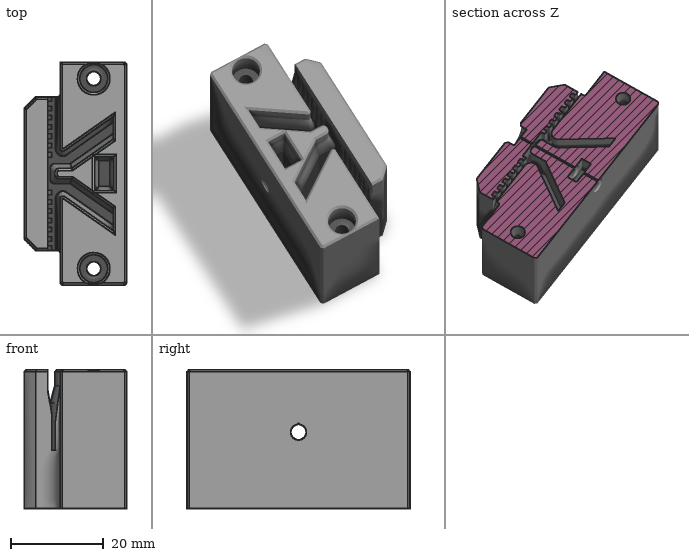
import math

import cadquery as cq

LENGTH_X = 22.15
LENGTH_Y = 48.15
HEIGHT = 30.0
EDGE_CHAMFER = 0.5
BODY_FACE_X = 7.75

JAW_LENGTH = 33.15
JAW_CORNER_CHAMFER = 2.5
JAW_THICKNESS = 5.1
JAW_ROOT_FILLET = 0.5

SLOT_FLOOR_Z = 12.6
WALL_STEP = 1.0
CHANNEL_WIDTH = 4.0
CHANNEL_ANGLE = 35.0
CHANNEL_END_X = 19.2

TAPER_TOP_Z = 26.5
SLOT_TAPER_BOTTOM_Z = 18.9
NOSE_TAPER_BOTTOM_Z = 22.8
WING_TAPER_BOTTOM_Z = 23.5

WING_APEX_RADIUS = 0.6

NOSE_TIP_X = 6.6
NOSE_HALF_WIDTH = 1.15
NOSE_RADIUS = 1.0
NOSE_KINK_X = 10.25

RIB_WIDTH = 1.0
RIB_PITCH = 2.0
RIBS_PER_SIDE = 7
RIB_HEIGHT = 0.87
RIB_TAPER_BOTTOM_Z = 20.3
RIB_TAPER_TOP_Z = 25.7

MOUNT_DIAMETER = 3.0
HEAD_DIAMETER = 6.0
MOUNT_X = 15.0
MOUNT_SPACING = 41.0
MOUNT_HEAD_DEPTH = 6.0
CLAMP_SCREW_Z = 16.5
CLAMP_DIAMETER = 3.3
CLAMP_ROOF_HEIGHT = 1.9
CLAMP_HEAD_DEPTH = 2.0
NUT_THICKNESS = 2.3
NUT_WIDTH = 5.5
NUT_CENTER_X = 17.28
NUT_FUNNEL = 0.9

BEYOND = 30.0

SIN_ANGLE = math.sin(math.radians(CHANNEL_ANGLE))
COS_ANGLE = math.cos(math.radians(CHANNEL_ANGLE))
TAN_ANGLE = SIN_ANGLE / COS_ANGLE


def taper_growth(z, taper_bottom):
    """How far a wall at height z stands out from its upper part, negative in the top chamfer."""
    chamfer_z = HEIGHT - EDGE_CHAMFER
    if z > chamfer_z:
        return chamfer_z - z
    taper_share = (TAPER_TOP_Z - z) / (TAPER_TOP_Z - taper_bottom)
    return WALL_STEP * min(max(taper_share, 0), 1)


def stacked_block(outline_at, taper_bottoms):
    """Block from the slot floor to the top, following the outline at each change of slope."""
    levels = [SLOT_FLOOR_Z, *taper_bottoms, TAPER_TOP_Z, HEIGHT - EDGE_CHAMFER, HEIGHT]
    block = None
    for z_low, z_high in zip(levels, levels[1:]):
        layer = cq.Workplane(cq.Solid.makeLoft([outline_at(z_low), outline_at(z_high)], True))
        block = layer if block is None else block.union(layer)
    return block.clean()


def wing_outline(z):
    """Wing on the +Y side: slot wall, rounded apex and channel wall at height z."""
    slot_growth = taper_growth(z, SLOT_TAPER_BOTTOM_Z)
    channel_growth = taper_growth(z, WING_TAPER_BOTTOM_Z)
    radius = WING_APEX_RADIUS + slot_growth
    wall_x = BODY_FACE_X - slot_growth
    center_x = wall_x + radius
    center_offset = CHANNEL_WIDTH - channel_growth + radius
    kink_rise = (center_x - NOSE_KINK_X) * TAN_ANGLE
    center_y = NOSE_HALF_WIDTH + center_offset / COS_ANGLE + kink_rise
    tangent_x = center_x + radius * SIN_ANGLE
    tangent_y = center_y - radius * COS_ANGLE
    middle_angle = math.radians((180 + 270 + CHANNEL_ANGLE) / 2)
    middle = (center_x + radius * math.cos(middle_angle), center_y + radius * math.sin(middle_angle))
    return (
        cq.Workplane("XY", origin=(0, 0, z))
        .moveTo(wall_x, BEYOND)
        .lineTo(wall_x, center_y)
        .threePointArc(middle, (tangent_x, tangent_y))
        .lineTo(BEYOND, tangent_y + (BEYOND - tangent_x) * TAN_ANGLE)
        .lineTo(BEYOND, BEYOND)
        .close()
        .val()
    )


def nose_outline(z):
    """Nose with rounded corners, widening into the wedge, at height z."""
    grow = taper_growth(z, NOSE_TAPER_BOTTOM_Z)
    tip = NOSE_TIP_X - grow
    half = NOSE_HALF_WIDTH + grow
    radius = NOSE_RADIUS + min(grow, 0)
    kink = NOSE_KINK_X - grow * math.tan(math.radians(CHANNEL_ANGLE / 2))
    far_y = half + (BEYOND - kink) * TAN_ANGLE
    inset = radius * (1 - math.sqrt(0.5))
    return (
        cq.Workplane("XY", origin=(0, 0, z))
        .moveTo(BEYOND, -far_y)
        .lineTo(kink, -half)
        .lineTo(tip + radius, -half)
        .threePointArc((tip + inset, -half + inset), (tip, -half + radius))
        .lineTo(tip, half - radius)
        .threePointArc((tip + inset, half - inset), (tip + radius, half))
        .lineTo(kink, half)
        .lineTo(BEYOND, far_y)
        .close()
        .val()
    )


def make_body():
    """Main block, chamfered all round the top and on every upright edge but the -X +Y one."""
    body = cq.Workplane("XY").box(LENGTH_X - BODY_FACE_X, LENGTH_Y, HEIGHT, centered=(False, True, False))
    body = body.translate((BODY_FACE_X, 0, 0))
    body = body.edges("|Z and (>X or <Y)").chamfer(EDGE_CHAMFER)
    return body.faces(">Z").edges().chamfer(EDGE_CHAMFER)


def make_jaw():
    """Jaw block with cut-off corners, reaching into the body as far as the nose is narrow."""
    jaw = cq.Workplane("XY").box(NOSE_KINK_X, JAW_LENGTH, HEIGHT, centered=(False, True, False))
    jaw = jaw.edges("|Z and <X").chamfer(JAW_CORNER_CHAMFER)
    return jaw.faces(">Z").edges("not >X").chamfer(EDGE_CHAMFER)


def make_root_fillet():
    """Concave fillet between the +Y end of the jaw and the body face."""
    radius = JAW_ROOT_FILLET
    end_y = JAW_LENGTH / 2
    inset = radius * (1 - math.sqrt(0.5))
    return (
        cq.Workplane("XY")
        .moveTo(BODY_FACE_X - radius, end_y)
        .threePointArc((BODY_FACE_X - inset, end_y + inset), (BODY_FACE_X, end_y + radius))
        .lineTo(BODY_FACE_X + radius, end_y + radius)
        .lineTo(BODY_FACE_X + radius, end_y - radius)
        .lineTo(BODY_FACE_X - radius, end_y - radius)
        .close()
        .extrude(TAPER_TOP_Z)
    )


def make_slot():
    """Clamping slot with both branch channels: all of the slot zone but the wings and nose."""
    end_chamfer_z = HEIGHT - EDGE_CHAMFER
    slot = (
        cq.Workplane("XZ")
        .moveTo(JAW_THICKNESS, SLOT_FLOOR_Z)
        .lineTo(CHANNEL_END_X, SLOT_FLOOR_Z)
        .lineTo(CHANNEL_END_X, end_chamfer_z)
        .lineTo(CHANNEL_END_X + EDGE_CHAMFER, HEIGHT)
        .lineTo(JAW_THICKNESS, HEIGHT)
        .close()
        .extrude(LENGTH_Y / 2, both=True)
    )
    wing = stacked_block(wing_outline, [SLOT_TAPER_BOTTOM_Z, WING_TAPER_BOTTOM_Z])
    nose = stacked_block(nose_outline, [NOSE_TAPER_BOTTOM_Z])
    return slot.cut(wing).cut(wing.mirror("XZ")).cut(nose)


def make_rib(center_y):
    """Upright rib on the inner jaw face, thinning out towards the top."""
    face_x = JAW_THICKNESS
    return (
        cq.Workplane("XZ", origin=(0, center_y, 0))
        .moveTo(face_x, SLOT_FLOOR_Z)
        .lineTo(face_x + RIB_HEIGHT, SLOT_FLOOR_Z)
        .lineTo(face_x + RIB_HEIGHT, RIB_TAPER_BOTTOM_Z)
        .lineTo(face_x, RIB_TAPER_TOP_Z)
        .close()
        .extrude(RIB_WIDTH / 2, both=True)
    )


def make_screw_hole(diameter, length, head_depth):
    """Counterbored screw hole along +Z from the origin, with a chamfered mouth."""
    head_radius = HEAD_DIAMETER / 2
    screw_radius = diameter / 2
    return (
        cq.Workplane("XZ")
        .moveTo(0, 0)
        .lineTo(head_radius + EDGE_CHAMFER, 0)
        .lineTo(head_radius, EDGE_CHAMFER)
        .lineTo(head_radius, head_depth)
        .lineTo(screw_radius, head_depth)
        .lineTo(screw_radius, length)
        .lineTo(0, length)
        .close()
        .revolve(360, (0, 0, 0), (0, 1, 0))
    )


def make_clamp_hole():
    """Clamping screw hole along X, with a 45 degree roof point on its upper side."""
    hole = make_screw_hole(CLAMP_DIAMETER, LENGTH_X, CLAMP_HEAD_DEPTH)
    hole = hole.rotate((0, 0, 0), (0, 1, 0), 90)
    roof = (
        cq.Workplane("YZ", origin=(CLAMP_HEAD_DEPTH, 0, 0))
        .moveTo(0, CLAMP_ROOF_HEIGHT)
        .lineTo(CLAMP_ROOF_HEIGHT / 2, CLAMP_ROOF_HEIGHT / 2)
        .lineTo(-CLAMP_ROOF_HEIGHT / 2, CLAMP_ROOF_HEIGHT / 2)
        .close()
        .extrude(LENGTH_X - CLAMP_HEAD_DEPTH)
    )
    return hole.union(roof).translate((0, 0, CLAMP_SCREW_Z))


def make_nut_pocket():
    """Drop-in nut pocket: chamfered mouth, wide entry, funnel and close-fitting seat."""
    seat_floor_z = CLAMP_SCREW_Z - NUT_WIDTH / 2
    levels = [
        (seat_floor_z, 0),
        (NOSE_TAPER_BOTTOM_Z, 0),
        (TAPER_TOP_Z, NUT_FUNNEL),
        (HEIGHT - EDGE_CHAMFER, NUT_FUNNEL),
        (HEIGHT, NUT_FUNNEL + EDGE_CHAMFER),
    ]
    pocket = None
    for (z_low, grow_low), (z_high, grow_high) in zip(levels, levels[1:]):
        layer = (
            cq.Workplane("XY", origin=(NUT_CENTER_X, 0, z_low))
            .rect(NUT_THICKNESS + 2 * grow_low, NUT_WIDTH + 2 * grow_low)
            .workplane(offset=z_high - z_low)
            .rect(NUT_THICKNESS + 2 * grow_high, NUT_WIDTH + 2 * grow_high)
            .loft(ruled=True)
        )
        pocket = layer if pocket is None else pocket.union(layer)
    return pocket


result = make_body().union(make_jaw())
root_fillet = make_root_fillet()
result = result.union(root_fillet).union(root_fillet.mirror("XZ"))
result = result.cut(make_slot())

for side in (-1, 1):
    for index in range(RIBS_PER_SIDE):
        rib_y = JAW_LENGTH / 2 - RIB_WIDTH / 2 - index * RIB_PITCH
        result = result.union(make_rib(side * rib_y))

mount_hole = make_screw_hole(MOUNT_DIAMETER, HEIGHT, MOUNT_HEAD_DEPTH)
mount_hole = mount_hole.rotate((0, 0, 0), (1, 0, 0), 180)
for side in (-1, 1):
    result = result.cut(mount_hole.translate((MOUNT_X, side * MOUNT_SPACING / 2, HEIGHT)))

result = result.cut(make_clamp_hole())
result = result.cut(make_nut_pocket())